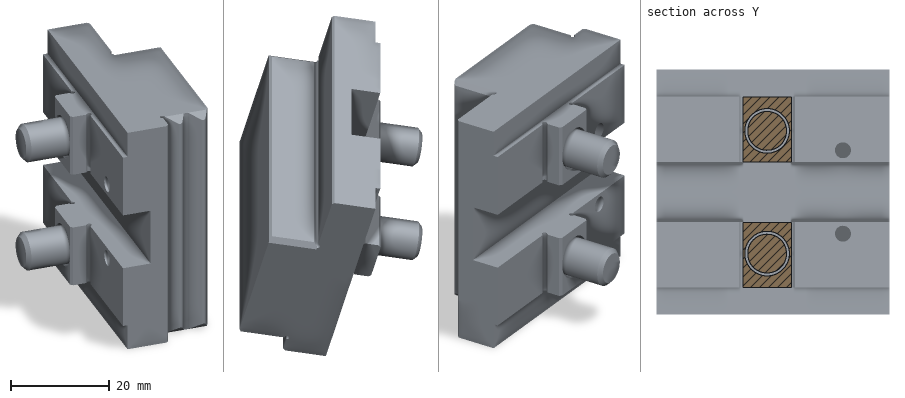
import cadquery as cq
import math

HEIGHT = 50.0
PLATE_WIDTH = 47.5
DEPTH = 33.0
PLATE_BACK = 10.0
STEP_FACE = 19.0
PAD_FACE = 20.0
BOSS_FACE = 24.0
EDGE_CHAMFER = 0.5
RELIEF_RADIUS = 0.5

BLOCK_LEFT = -9.7
BLOCK_END_CHAMFER = 1.0

TOOTH_COUNT = 2
TOOTH_PITCH = 5.0
TOOTH_TIP_X = 21.55
TOOTH_TIP_DEPTH = 1.4
TOOTH_ROOT_X = 19.8
TOOTH_CREST_RADIUS = 0.75
FLANK_ANGLE = math.radians(30)
TOOTH_RELIEF_X = 19.7

PAD_OUTER_Z = 19.45
CHANNEL_HEIGHT = 12.2
CHANNEL_FLOOR = 14.0

BOSS_X = -1.25
BOSS_WIDTH = 10.0
PIN_Z = 12.5
PIN_DIAMETER = 8.0
PIN_CHAMFER = 0.85
PIN_ROOT = 0.5
CLEARANCE_DIAMETER = 9.0
CLEARANCE_DEPTH = BOSS_FACE - PAD_FACE

HOLE_DIAMETER = 3.25
HOLE_X = 14.25
HOLE_Z = 8.5
HOLE_DEPTH = PAD_FACE - CHANNEL_FLOOR

PLATE_RIGHT = PLATE_WIDTH / 2
PLATE_LEFT = -PLATE_RIGHT
Y_BACK = DEPTH / 2


def y_at(depth):
    """Y of a place a given distance forward of the block's back."""
    return Y_BACK - depth


def box(x_min, x_max, depth_min, depth_max, z_min, z_max):
    """Box between two places on each axis, with Y given as depths."""
    size = (x_max - x_min, depth_max - depth_min, z_max - z_min)
    corner = (x_min, y_at(depth_max), z_min)
    return cq.Workplane("XY").box(*size, centered=False).translate(corner)


def front_cylinder(diameter, x, z, depth_min, depth_max):
    """Cylinder along Y between two depths."""
    plane = cq.Workplane("XZ", origin=(x, y_at(depth_min), z))
    return plane.circle(diameter / 2).extrude(depth_max - depth_min)


def round_relief(x, depth):
    """Round groove along Z, centred on an inside corner."""
    plane = cq.Workplane("XY", origin=(x, y_at(depth), -HEIGHT / 2))
    return plane.circle(RELIEF_RADIUS).extrude(HEIGHT)


def lipped_relief(x, depth, solid_x, open_y):
    """Round groove whose two lips run out to the walls along 45 degree tangents.

    solid_x is the X direction into the wall, open_y the Y direction away from the plate.
    """
    lip = RELIEF_RADIUS * math.sqrt(2)
    tangent = RELIEF_RADIUS / math.sqrt(2)
    points = [
        (0, open_y * lip),
        (solid_x * tangent, open_y * tangent),
        (-solid_x * tangent, -open_y * tangent),
        (-solid_x * lip, 0),
    ]
    plane = cq.Workplane("XY", origin=(x, y_at(depth), -HEIGHT / 2))
    return round_relief(x, depth).union(plane.polyline(points).close().extrude(HEIGHT))


def serrated_outline():
    """Points of the block's outline seen along Z."""
    steep = math.tan(math.pi / 2 - FLANK_ANGLE)
    shallow = math.tan(FLANK_ANGLE)
    tooth_height = TOOTH_TIP_X - TOOTH_ROOT_X
    tips = [TOOTH_TIP_DEPTH + i * TOOTH_PITCH for i in range(TOOTH_COUNT)]

    points = [(BLOCK_LEFT, PLATE_BACK), (BLOCK_LEFT, 0)]
    points.append((TOOTH_TIP_X - tips[0] / shallow, 0))
    for tip in tips:
        if tip != tips[0]:
            points.append((TOOTH_ROOT_X, tip - tooth_height * shallow))
        points.append((TOOTH_TIP_X, tip))
        if tip != tips[-1]:
            points.append((TOOTH_ROOT_X, tip + tooth_height * steep))
    points.append((TOOTH_TIP_X - (PLATE_BACK - tips[-1]) / steep, PLATE_BACK))
    return [(x, y_at(depth)) for x, depth in points]


def end_bevel_envelope():
    """Octagonal bar along Y that bevels the top and bottom ends of both block sides."""
    tooth_bevel = TOOTH_TIP_X - TOOTH_ROOT_X
    end = HEIGHT / 2
    points = [
        (BLOCK_LEFT + BLOCK_END_CHAMFER, end),
        (TOOTH_ROOT_X, end),
        (TOOTH_TIP_X, end - tooth_bevel),
        (TOOTH_TIP_X, tooth_bevel - end),
        (TOOTH_ROOT_X, -end),
        (BLOCK_LEFT + BLOCK_END_CHAMFER, -end),
        (BLOCK_LEFT, BLOCK_END_CHAMFER - end),
        (BLOCK_LEFT, end - BLOCK_END_CHAMFER),
    ]
    return cq.Workplane("XZ", origin=(0, Y_BACK, 0)).polyline(points).close().extrude(PLATE_BACK)


def make_block():
    """Serrated block with rounded tooth crests and beveled ends."""
    plane = cq.Workplane("XY", origin=(0, 0, -HEIGHT / 2))
    block = plane.polyline(serrated_outline()).close().extrude(HEIGHT)
    for i in range(TOOTH_COUNT):
        tip_y = y_at(TOOTH_TIP_DEPTH + i * TOOTH_PITCH)
        block = block.edges(cq.NearestToPointSelector((TOOTH_TIP_X, tip_y, 0))).fillet(TOOTH_CREST_RADIUS)
    block = block.edges(cq.NearestToPointSelector((BLOCK_LEFT, Y_BACK, 0))).chamfer(EDGE_CHAMFER)
    return block.intersect(end_bevel_envelope())


def make_plate():
    """Plate with its two rear vertical edges chamfered."""
    plate = box(PLATE_LEFT, PLATE_RIGHT, PLATE_BACK, STEP_FACE, -HEIGHT / 2, HEIGHT / 2)
    return plate.edges("|Z and >Y").chamfer(EDGE_CHAMFER)


def make_pads():
    """Raised pad and key boss, before the channel divides them in two."""
    pads = box(PLATE_LEFT, PLATE_RIGHT, STEP_FACE, PAD_FACE, -PAD_OUTER_Z, PAD_OUTER_Z)
    bosses = box(BOSS_X - BOSS_WIDTH / 2, BOSS_X + BOSS_WIDTH / 2, STEP_FACE, BOSS_FACE,
                 -PAD_OUTER_Z, PAD_OUTER_Z)
    return pads.union(bosses.edges("|Z and <Y").chamfer(EDGE_CHAMFER))


body = make_plate().union(make_block()).union(make_pads())

body = body.cut(lipped_relief(BLOCK_LEFT, PLATE_BACK, 1, 1))
body = body.cut(round_relief(TOOTH_RELIEF_X, PLATE_BACK))
for side in (-1, 1):
    body = body.cut(lipped_relief(BOSS_X + side * BOSS_WIDTH / 2, PAD_FACE, -side, -1))

body = body.cut(box(PLATE_LEFT, PLATE_RIGHT, CHANNEL_FLOOR, BOSS_FACE,
                    -CHANNEL_HEIGHT / 2, CHANNEL_HEIGHT / 2))

clearance_floor = BOSS_FACE - CLEARANCE_DEPTH
for side in (-1, 1):
    body = body.cut(front_cylinder(CLEARANCE_DIAMETER, BOSS_X, side * PIN_Z, clearance_floor, BOSS_FACE))
    pin = front_cylinder(PIN_DIAMETER, BOSS_X, side * PIN_Z, clearance_floor - PIN_ROOT, DEPTH)
    body = body.union(pin.faces("<Y").chamfer(PIN_CHAMFER))
    body = body.cut(front_cylinder(HOLE_DIAMETER, HOLE_X, side * HOLE_Z, PAD_FACE - HOLE_DEPTH, PAD_FACE))

result = body